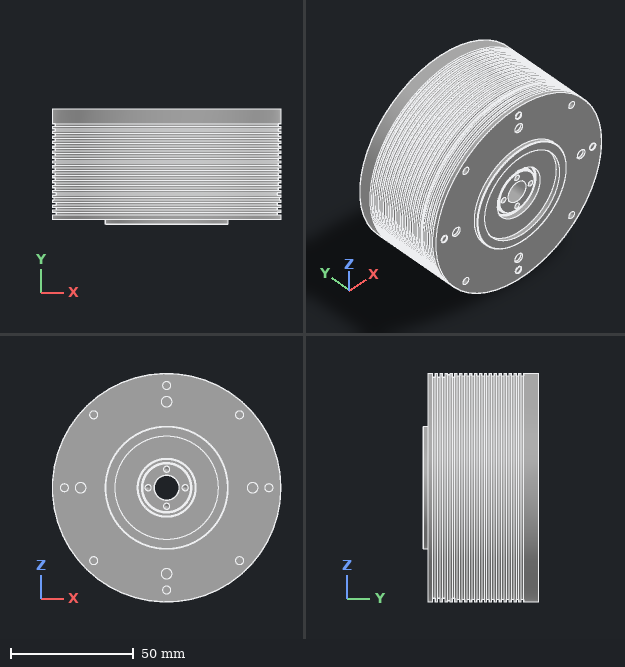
import cadquery as cq
import math


drum_diameter = 93.0
drum_length = 45.0
back_rim_length = 6.0
front_rim_length = 1.95

groove_count = 19
groove_floor_diameter = 91.0
deep_floor_diameter = 90.0
shallow_floor_diameter = 92.0
deep_grooves = (14, 16, 17, 18)
shallow_grooves = (15,)

boss_diameter = 50.0
boss_height = 1.95
boss_chamfer = 0.3
dish_diameter = 42.0
dish_depth = 1.95

well_diameter = 24.0
well_depth = 2.4
well_step_diameter = 23.2
well_step_depth = 0.5
hub_diameter = 20.55
hub_neck_diameter = 20.0
hub_face_diameter = 19.4
hub_shoulder_drop = 0.5
hub_bevel = 0.3
hub_face_depth = 1.0
bore_diameter = 10.0

hub_hole_diameter = 2.5
hub_hole_circle_radius = 7.5
hub_hole_depth = 5.0
drill_point_angle = 118.0
screw_hole_diameter = 3.3
screw_hole_circle_radius = 41.6
screw_hole_depth = 0.5
diagonal_hole_circle_radius = 41.9
diagonal_hole_depth = 10.0
pin_hole_diameter = 4.3
pin_hole_circle_radius = 35.0
pin_hole_depth = 1.0

boss_face = 0.0
mounting_face = boss_face + boss_height
back_face = mounting_face + drum_length
dish_floor = boss_face + dish_depth
well_step = dish_floor + well_depth
well_floor = well_step + well_step_depth
hub_face = dish_floor + hub_face_depth


def disc(diameter, start, end):
    """Cylinder about the Y axis between two Y positions."""
    length = end - start
    return cq.Workplane("XZ", origin=(0, start, 0)).circle(diameter / 2).extrude(-length)


def turned(profile):
    """Solid turned about the Y axis from (radius, Y position) points."""
    return cq.Workplane("XY").polyline(profile).close().revolve(360, (0, 0), (0, 1))


def four_points(radius, first_angle=0):
    """Centres of four holes evenly spaced on a circle."""
    angles = [math.radians(first_angle + 90 * i) for i in range(4)]
    return [(radius * math.cos(angle), radius * math.sin(angle)) for angle in angles]


def flat_holes(diameter, circle_radius, first_angle, depth):
    """Four flat-bottomed holes drilled toward +Y from the mounting face."""
    plane = cq.Workplane("XZ", origin=(0, mounting_face, 0))
    holes = plane.pushPoints(four_points(circle_radius, first_angle)).circle(diameter / 2)
    return holes.extrude(-depth)


def mounting_holes():
    """Pin holes and screw holes in the mounting face."""
    pins = flat_holes(pin_hole_diameter, pin_hole_circle_radius, 0, pin_hole_depth)
    screws = flat_holes(screw_hole_diameter, screw_hole_circle_radius, 0, screw_hole_depth)
    diagonals = flat_holes(screw_hole_diameter, diagonal_hole_circle_radius, 45, diagonal_hole_depth)
    return pins.union(screws).union(diagonals)


def hub_holes():
    """Blind holes in the hub face, each ending in a drill point."""
    radius = hub_hole_diameter / 2
    point_length = radius / math.tan(math.radians(drill_point_angle / 2))
    shoulder = hub_face + hub_hole_depth
    hole = turned([(0, hub_face), (radius, hub_face), (radius, shoulder), (0, shoulder + point_length)])
    holes = cq.Workplane("XY")
    for x, z in four_points(hub_hole_circle_radius):
        holes = holes.add(hole.translate((x, 0, z)))
    return holes.combine()


def groove_floor(index):
    if index in deep_grooves:
        return deep_floor_diameter
    if index in shallow_grooves:
        return shallow_floor_diameter
    return groove_floor_diameter


def grooved_drum():
    """Stack of full-diameter fins and groove floors; fins are as wide as grooves."""
    grooved_length = drum_length - back_rim_length - front_rim_length
    groove_width = grooved_length / (2 * groove_count - 1)
    drum = disc(drum_diameter, mounting_face, back_face)
    for index in range(groove_count):
        groove_back = back_face - back_rim_length - 2 * groove_width * index
        groove_front = groove_back - groove_width
        ring = disc(drum_diameter, groove_front, groove_back)
        drum = drum.cut(ring.cut(disc(groove_floor(index), groove_front, groove_back)))
    return drum


def dished_boss(drum):
    boss = disc(boss_diameter, boss_face, mounting_face).faces("<Y").edges().chamfer(boss_chamfer)
    return drum.union(boss).cut(disc(dish_diameter, boss_face, dish_floor))


def hub():
    """Stepped hub with a bevelled face and a bevelled shoulder."""
    face_radius = hub_face_diameter / 2
    neck_radius = hub_neck_diameter / 2
    outer_radius = hub_diameter / 2
    shoulder = hub_face + hub_shoulder_drop
    return turned([
        (0, hub_face),
        (face_radius, hub_face),
        (neck_radius, hub_face + hub_bevel),
        (neck_radius, shoulder),
        (outer_radius, shoulder + hub_bevel),
        (outer_radius, well_floor),
        (0, well_floor),
    ])


def well_and_hub(body):
    """Stepped well with the bored hub standing in it."""
    well = disc(well_diameter, dish_floor, well_step)
    step = disc(well_step_diameter, well_step, well_floor)
    body = body.cut(well).cut(step).union(hub())
    return body.cut(disc(bore_diameter, boss_face, back_face))


result = well_and_hub(dished_boss(grooved_drum()))
result = result.cut(hub_holes())
result = result.cut(mounting_holes())
result = result.translate((0, -(boss_face + back_face) / 2, 0))